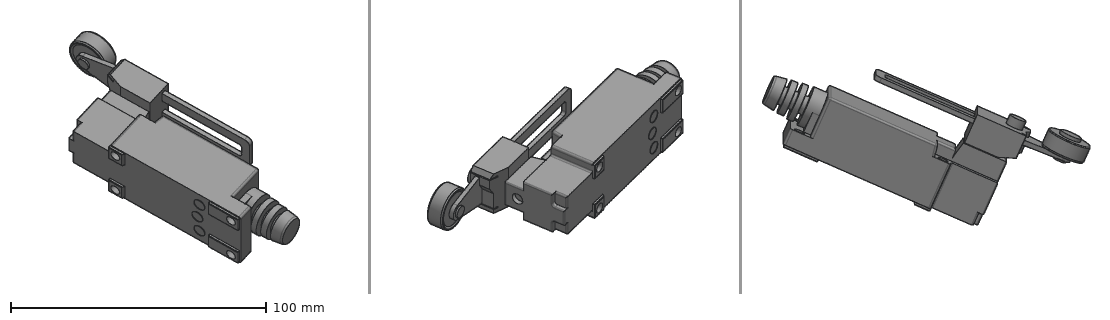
import cadquery as cq


face_y = 1.1
housing_left = 48.1
housing_right = 102.8
housing_top_y = 25.7
housing_width = 28.0
housing_half_z = housing_width / 2
flange_right = 111.5
flange_top_y = 8.0
corner_radius = 1.0
cover_edge_radius = 0.9
shoulder_y = 20.6
notch_top_x = 56.0
notch_bottom_x = 55.1
neck_half_z = 5.9

head_left = 27.9
head_top_y = 29.0
head_half_z = 9.6
head_slope_x = 46.6
head_slope_y = 21.8
front_plate_depth = 2.0
pocket_half_z = 3.7
pocket_top_y = 6.7
pocket_radius = 1.2
head_edge_radius = 0.5
pocket_edge_radius = 0.7
head_root_radius = 0.7
cap_screw_y = 23.1
cap_screw_diameter = 4.9
cap_screw_depth = front_plate_depth

hole_left_x = 51.5
hole_spacing_x = 56.0
hole_spacing_z = 21.0
hole_radius = 2.1
pad_inner_z = 6.6
pad_outer_z = 13.5
left_pad_end = 55.4
pad_bevel = 0.7
right_pad_start = 96.4
right_pad_end = 110.9
pad_edge_chamfer = 0.2
pad_embed = 0.2
plug_radius = 2.6
plug_height = 0.2
middle_plug_x = 90.5
side_plug_x = 91.5
side_plug_z = 8.0

gland_y = 16.5
collar_radius = 8.2
collar_end = 108.7
saddle_end = 105.7
neck_edge_radius = 4.4
neck_waist_radius = 3.7
ring_spans = [(110.9, 113.4, 7.7), (115.1, 117.8, 7.1)]
nose_start = 119.6
nose_radius = 6.7
nose_rim_x = 123.8
nose_rim_radius = 6.1
nose_end = 124.7
nose_end_radius = 5.7

clamp_right = 46.5
clamp_left = 25.5
clamp_lip_left = 23.6
clamp_lip_top_z = 8.0
clamp_lip_bottom_z = 3.2
clamp_lip_root_z = 0
clamp_width = 20.1
clamp_half_z = clamp_width / 2
clamp_bottom_y = 30.0
clamp_top_y = 42.3
clamp_slope_start_x = 32.2
clamp_slope_end_y = 33.3
slit_z = 7.9
slit_width = 0.5
slit_end = 27.3
clamp_screw_x = 30.7
clamp_screw_radius = 3.5
clamp_screw_top_y = 46.0
shaft_x = 38.9
shaft_radius = 3.0

arm_bottom_y = 38.0
arm_top_y = 40.0
arm_end = 88.9
arm_half_z = 8.1
arm_end_radius = 2.4
arm_slot_width = 6.9
arm_slot_half_z = arm_slot_width / 2
arm_slot_end = 85.0
arm_slot_radius = 1.2
arm_tip_x = 5.0
arm_tip_tangent_x = 8.1
arm_tip_half_z = 3.6
arm_taper_end = 27.5

roller_radius = 9.0
roller_top_y = 47.1
rim_radius = 8.7
bottom_bevel_height = 0.7
top_bevel_height = 0.5
dish_radius = 8.2
dish_floor_radius = 7.4
dish_depth = 0.4
rivet_diameter = 5.1
rivet_bottom_y = 37.2
rivet_head_radius = 4.5
rivet_head_top_y = 48.5


def block(x0, x1, y0, y1, z0, z1):
    return cq.Workplane("XY").box(x1 - x0, y1 - y0, z1 - z0, centered=False).translate((x0, y0, z0))


def rod_along_y(x, z, radius, y0, y1):
    return cq.Workplane(cq.Plane((x, y0, z), (1, 0, 0), (0, 1, 0))).circle(radius).extrude(y1 - y0)


def side_profile(points, half_z):
    """Extrude an outline in the XY plane symmetrically about the middle plane."""
    return cq.Workplane("XY").polyline(points).close().extrude(half_z, both=True)


def plan(y0):
    """Workplane across the Y direction at y0; its local axes are X and Z, extrusion goes to -Y."""
    return cq.Workplane("XZ", origin=(0, y0, 0))


def nearest_edge(x, y, z):
    return cq.selectors.NearestToPointSelector((x, y, z))


def make_case():
    case = block(housing_left, housing_right, face_y, housing_top_y, -housing_half_z, housing_half_z)
    for side in (1, -1):
        notch = (
            cq.Workplane("XY", origin=(0, 0, side * neck_half_z))
            .moveTo(housing_left, shoulder_y)
            .lineTo(notch_bottom_x, shoulder_y)
            .lineTo(notch_top_x, housing_top_y)
            .lineTo(housing_left, housing_top_y)
            .close()
            .extrude(side * housing_half_z)
        )
        case = case.cut(notch)
    lower_mid_y = (face_y + shoulder_y) / 2
    notch_mid = ((notch_top_x + notch_bottom_x) / 2, (shoulder_y + housing_top_y) / 2)
    for z in (housing_half_z, -housing_half_z):
        for x, y in ((housing_left, lower_mid_y), notch_mid, (housing_right, lower_mid_y)):
            case = case.edges(nearest_edge(x, y, z)).fillet(corner_radius)
    case = case.faces(">Y").edges().fillet(cover_edge_radius)
    flange = block(
        housing_right - 2 * corner_radius, flange_right, face_y, flange_top_y, -housing_half_z, housing_half_z
    )
    flange = flange.edges("|Y and >X").fillet(corner_radius)
    return case.union(flange)


def head_section(x, length):
    """Length of the head from x on: a wide lower part and a narrower neck above the shoulders."""
    section = [
        (-head_half_z, face_y),
        (head_half_z, face_y),
        (head_half_z, shoulder_y),
        (neck_half_z, shoulder_y),
        (neck_half_z, head_top_y),
        (-neck_half_z, head_top_y),
        (-neck_half_z, shoulder_y),
        (-head_half_z, shoulder_y),
    ]
    end_plane = cq.Plane((x, 0, 0), (0, 0, -1), (1, 0, 0))
    return cq.Workplane(end_plane).polyline(section).close().extrude(length)


def make_front_plate():
    """Raised plate on the head's end, leaving a shallow pocket at each lower corner."""
    thickness = front_plate_depth + pocket_edge_radius
    plate = head_section(head_left, thickness)
    for side, inner_corner in ((1, ">Y and <Z"), (-1, ">Y and >Z")):
        z_inner, z_outer = sorted((side * pocket_half_z, side * housing_half_z))
        pocket = block(head_left, head_left + thickness, 0, pocket_top_y, z_inner, z_outer)
        plate = plate.cut(pocket.edges("|X").edges(inner_corner).fillet(pocket_radius))
    return plate.faces("<X").edges().fillet(head_edge_radius)


def make_head():
    core_left = head_left + front_plate_depth
    core_right = housing_left + corner_radius
    core = head_section(core_left, core_right - core_left)
    core = core.faces("<X").edges().fillet(pocket_edge_radius)
    relief = side_profile(
        [
            (head_slope_x, head_top_y),
            (housing_left, head_slope_y),
            (core_right, head_slope_y),
            (core_right, head_top_y),
        ],
        neck_half_z,
    )
    cap_screw_hole = (
        cq.Workplane("YZ", origin=(head_left, cap_screw_y, 0))
        .circle(cap_screw_diameter / 2)
        .extrude(cap_screw_depth)
    )
    return core.cut(relief).union(make_front_plate()).cut(cap_screw_hole)


def make_housing():
    housing = make_case().union(make_head())
    for z in (head_half_z, -head_half_z):
        root = nearest_edge(housing_left, (face_y + shoulder_y) / 2, z)
        housing = housing.edges(root).fillet(head_root_radius)
    return housing


def make_pads():
    pads = cq.Workplane("XY")
    for side in (1, -1):
        z_low, z_high = sorted((side * pad_inner_z, side * pad_outer_z))
        bevelled = (
            cq.Workplane("XY", origin=(0, 0, z_low))
            .moveTo(housing_left, face_y + pad_embed)
            .lineTo(housing_left, 0)
            .lineTo(left_pad_end - pad_bevel, 0)
            .lineTo(left_pad_end, face_y)
            .lineTo(left_pad_end, face_y + pad_embed)
            .close()
            .extrude(z_high - z_low)
        )
        plain = block(right_pad_start, right_pad_end, 0, face_y + pad_embed, z_low, z_high)
        for pad in (bevelled, plain):
            pads = pads.add(pad.faces("<Y").edges("not >X").chamfer(pad_edge_chamfer))
    return pads.combine()


def make_plugs():
    plugs = cq.Workplane("XY")
    for x, z in [(middle_plug_x, 0), (side_plug_x, side_plug_z), (side_plug_x, -side_plug_z)]:
        plugs = plugs.add(rod_along_y(x, z, plug_radius, face_y - plug_height, face_y))
    return plugs.combine()


def make_gland():
    section = cq.Workplane("XY").moveTo(housing_right, 0).lineTo(housing_right, collar_radius)
    section = section.lineTo(collar_end, collar_radius)
    neck_start = collar_end
    for start, end, radius in ring_spans + [(nose_start, nose_rim_x, nose_radius)]:
        section = section.lineTo(neck_start, neck_edge_radius)
        waist = ((neck_start + start) / 2, neck_waist_radius)
        section = section.threePointArc(waist, (start, neck_edge_radius)).lineTo(start, radius)
        if start != nose_start:
            section = section.lineTo(end, radius)
        neck_start = end
    section = section.lineTo(nose_rim_x, nose_rim_radius).lineTo(nose_end, nose_end_radius)
    section = section.lineTo(nose_end, 0).close()
    gland = section.revolve(360, (0, 0, 0), (1, 0, 0)).translate((0, gland_y, 0))
    saddle = block(housing_right, saddle_end, flange_top_y, gland_y, -collar_radius, collar_radius)
    return gland.union(saddle)


def make_switch():
    switch = make_housing().union(make_gland()).union(make_pads()).union(make_plugs())
    for x in (hole_left_x, hole_left_x + hole_spacing_x):
        for z in (-hole_spacing_z / 2, hole_spacing_z / 2):
            switch = switch.cut(rod_along_y(x, z, hole_radius, 0, housing_top_y))
    return switch


def make_clamp():
    outline = [
        (clamp_right, clamp_half_z),
        (clamp_left, clamp_half_z),
        (clamp_lip_left, clamp_lip_top_z),
        (clamp_lip_left, clamp_lip_bottom_z),
        (clamp_left, clamp_lip_root_z),
        (clamp_left, -clamp_half_z),
        (clamp_right, -clamp_half_z),
    ]
    clamp = plan(clamp_top_y).polyline(outline).close().extrude(clamp_top_y - clamp_bottom_y)
    underside = side_profile(
        [
            (clamp_slope_start_x, clamp_bottom_y),
            (clamp_lip_left, clamp_slope_end_y),
            (clamp_lip_left, clamp_bottom_y),
        ],
        clamp_half_z,
    )
    clamp = clamp.cut(underside)
    for z in (slit_z, -slit_z):
        slit = block(
            clamp_lip_left, slit_end, clamp_bottom_y, clamp_top_y, z - slit_width / 2, z + slit_width / 2
        )
        clamp = clamp.cut(slit)
    screw = rod_along_y(clamp_screw_x, 0, clamp_screw_radius, clamp_top_y, clamp_screw_top_y)
    shaft = rod_along_y(shaft_x, 0, shaft_radius, head_top_y, clamp_bottom_y)
    return clamp.union(screw).union(shaft)


def make_arm():
    thickness = arm_top_y - arm_bottom_y
    tapered = (
        plan(arm_top_y)
        .moveTo(arm_taper_end, -slit_z)
        .lineTo(arm_tip_tangent_x, -arm_tip_half_z)
        .threePointArc((arm_tip_x, 0), (arm_tip_tangent_x, arm_tip_half_z))
        .lineTo(arm_taper_end, slit_z)
        .close()
        .extrude(thickness)
    )
    bar = block(arm_taper_end, arm_end, arm_bottom_y, arm_top_y, -arm_half_z, arm_half_z)
    bar = bar.edges("|Y and >X").fillet(arm_end_radius)
    slot = block(clamp_right, arm_slot_end, arm_bottom_y, arm_top_y, -arm_slot_half_z, arm_slot_half_z)
    slot = slot.edges("|Y and >X").fillet(arm_slot_radius)
    return tapered.union(bar.cut(slot))


def make_roller():
    """Roller and rivet head turned in one piece about the rivet's axis, plus the rivet itself."""
    half_section = [
        (0, arm_top_y + dish_depth),
        (dish_floor_radius, arm_top_y + dish_depth),
        (dish_radius, arm_top_y),
        (rim_radius, arm_top_y),
        (roller_radius, arm_top_y + bottom_bevel_height),
        (roller_radius, roller_top_y - top_bevel_height),
        (rim_radius, roller_top_y),
        (rivet_head_radius, roller_top_y),
        (rivet_head_radius, rivet_head_top_y),
        (0, rivet_head_top_y),
    ]
    roller = cq.Workplane("XY").polyline(half_section).close().revolve(360, (0, 0, 0), (0, 1, 0))
    rivet = rod_along_y(0, 0, rivet_diameter / 2, rivet_bottom_y, roller_top_y)
    return roller.union(rivet).translate((roller_radius, 0, 0))


def make_lever():
    return make_clamp().union(make_arm()).union(make_roller())


switch = make_switch()
lever = make_lever()

result = cq.Compound.makeCompound([switch.solids().val(), lever.solids().val()])